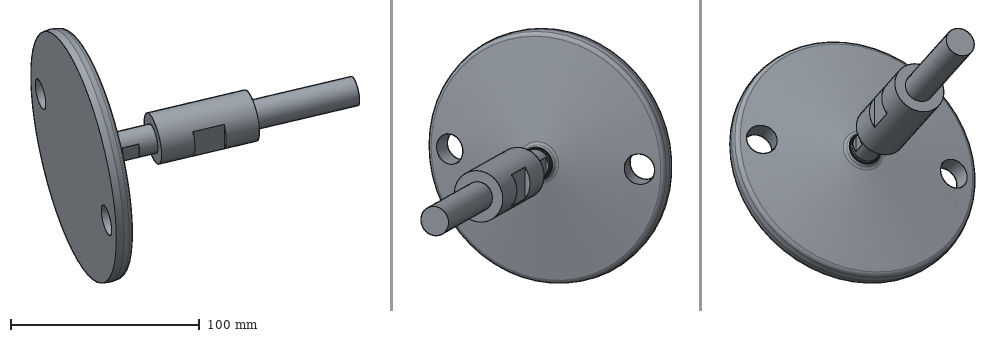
import cadquery as cq
import math


rim_diameter = 138.0
rim_draft = 0.5
parting_height = 4.1
shoulder_radius = 2.5
cone_angle = 9.75
cone_base_height = 9.45
collar_diameter = 16.6
collar_top = 22.0
flare_angle = 45.0
flare_blend_radius = 3.0
lip_diameter = 17.8
lip_height = 0.5

hole_diameter = 16.5
hole_offset = 52.8
hole_cutter_length = 60.0

rod_diameter = 16.0
neck_top_diameter = 13.4
neck_foot_diameter = 16.4
rod_bottom = 23.2
spindle_top = 158.0
rod_flats_width = 13.0
rod_flats_bottom = 25.0
rod_flats_length = 9.4

sleeve_diameter = 28.0
sleeve_bottom = 44.6
sleeve_length = 55.0
sleeve_flats_width = 22.0
sleeve_flats_length = 17.5
sleeve_flats_bottom = sleeve_bottom + (sleeve_length - sleeve_flats_length) / 2


def cylinder_y(diameter, bottom, top):
    """Cylinder on the Y axis between two heights."""
    return cq.Workplane("XZ", origin=(0, bottom, 0)).circle(diameter / 2).extrude(bottom - top)


def cut_flats(body, diameter, width, bottom, length):
    """Cut two opposite flats facing +X and -X, a given width apart."""
    depth = (diameter - width) / 2
    for side in (-1, 1):
        cutter = cq.Workplane("XY").box(2 * depth, length, 2 * diameter)
        body = body.cut(cutter.translate((side * (width / 2 + depth), bottom + length / 2, 0)))
    return body


def make_foot():
    rim_radius = rim_diameter / 2
    edge_radius = rim_radius - rim_draft
    collar_radius = collar_diameter / 2
    tilt = math.radians(cone_angle)
    flare_tilt = math.radians(flare_angle)
    slope = math.tan(tilt)
    cone_top = cone_base_height + (edge_radius - collar_radius) * slope
    lip_bottom = collar_top - lip_height

    centre_r = edge_radius - shoulder_radius
    centre_y = cone_base_height + shoulder_radius * (slope - 1 / math.cos(tilt))
    mid_tilt = (tilt + math.pi / 2) / 2

    def on_rounding(angle):
        """Point on the rounding, by angle from the axis direction."""
        return (centre_r + shoulder_radius * math.sin(angle), centre_y + shoulder_radius * math.cos(angle))

    corner_r = collar_radius + (lip_bottom - cone_top) / (math.tan(flare_tilt) - slope)
    corner_y = cone_top - (corner_r - collar_radius) * slope
    blend_reach = flare_blend_radius * math.tan((flare_tilt - tilt) / 2)
    blend_start = (corner_r + blend_reach * math.cos(tilt), corner_y - blend_reach * math.sin(tilt))
    blend_end = (corner_r - blend_reach * math.cos(flare_tilt), corner_y + blend_reach * math.sin(flare_tilt))

    profile = (
        cq.Workplane("XY")
        .moveTo(0, 0)
        .lineTo(edge_radius, 0)
        .lineTo(rim_radius, parting_height)
        .lineTo(*on_rounding(math.pi / 2))
        .threePointArc(on_rounding(mid_tilt), on_rounding(tilt))
        .lineTo(*blend_start)
        .tangentArcPoint(blend_end, relative=False)
        .lineTo(collar_radius, lip_bottom)
        .threePointArc((lip_diameter / 2, collar_top - lip_height / 2), (collar_radius, collar_top))
        .lineTo(0, collar_top)
        .close()
    )
    foot = profile.revolve(360, (0, 0, 0), (0, 1, 0))
    for side in (-1, 1):
        lean = (side * math.sin(tilt), math.cos(tilt), 0)
        axis_plane = cq.Plane(origin=(side * hole_offset, 0, 0), xDir=(0, 0, 1), normal=lean)
        cutter = cq.Workplane(axis_plane).circle(hole_diameter / 2).extrude(hole_cutter_length / 2, both=True)
        foot = foot.cut(cutter)
    return foot


def make_spindle():
    neck_profile = (
        cq.Workplane("XY")
        .moveTo(0, collar_top)
        .lineTo(neck_foot_diameter / 2, collar_top)
        .lineTo(neck_top_diameter / 2, rod_bottom)
        .lineTo(0, rod_bottom)
        .close()
    )
    neck = neck_profile.revolve(360, (0, 0, 0), (0, 1, 0))
    rod = cylinder_y(rod_diameter, rod_bottom, spindle_top)
    return cut_flats(neck.union(rod), rod_diameter, rod_flats_width, rod_flats_bottom, rod_flats_length)


def make_sleeve():
    sleeve_top = sleeve_bottom + sleeve_length
    blank = cylinder_y(sleeve_diameter, sleeve_bottom, sleeve_top)
    tube = blank.cut(cylinder_y(rod_diameter, sleeve_bottom, sleeve_top))
    return cut_flats(tube, sleeve_diameter, sleeve_flats_width, sleeve_flats_bottom, sleeve_flats_length)


foot = make_foot()
spindle = make_spindle()
sleeve = make_sleeve()

result = cq.Compound.makeCompound([foot.val(), spindle.val(), sleeve.val()])